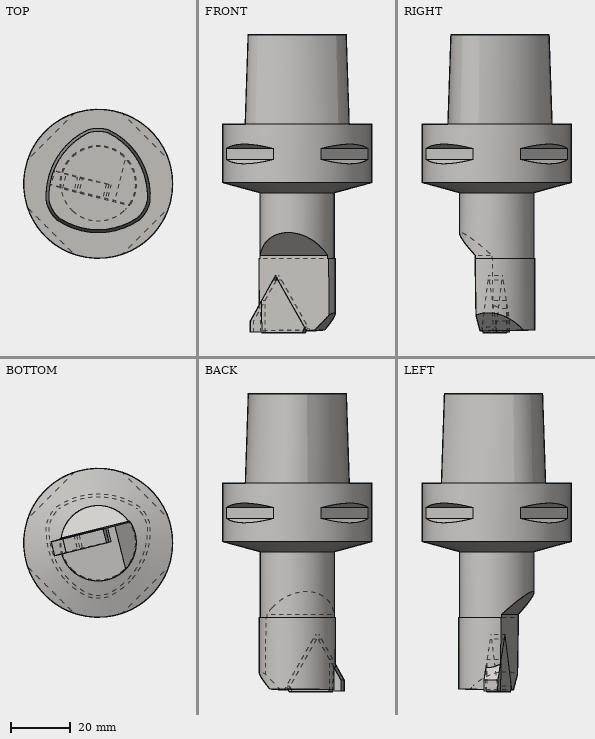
import cadquery as cq
import math

flange_diameter = 50.0
flange_bottom = 50.4
flange_top = 70.0
cone_bottom = 47.0
shank_diameter = 25.0
head_diameter = 25.6
head_top = 25.0
overall_height = 100.0

lobe_radius = 18.6
lobe_end_radius = 18.4
lobe_half_angle = 11.0
flank_radius = 16.4
coupling_inset = 1.0
lobe_angles = (90, 210, 330)
lobe_pitch = 360 / len(lobe_angles)

notch_count = 4
first_notch_angle = 45
notch_height = 3.6
notch_floor_distance = 22.4
notch_side_angle = 30.0
notch_z = 60.0

face_turn = 14.0
face_tilt = 1.0
face_offset = 4.1
face_height = 26.0
head_underside = 0.7
corner_start = 6.1
cutter_reach = 60.0
cutter_clearance = 1.0

insert_thickness = 4.8
apex_x = -6.4
apex_z = 19.2
half_apex_angle = 30.0
insert_top = 17.7
insert_corner_x = 2.7
insert_corner_height = 1.9
tip_joint_x = -11.2
tip_end_x = -15.2
tip_underside = 0.25

edge_run = math.tan(math.radians(half_apex_angle))


def left_edge_x(z):
    return apex_x - (apex_z - z) * edge_run


def left_edge_z(x):
    return apex_z - (apex_x - x) / edge_run


def right_edge_x(z):
    return apex_x + (apex_z - z) * edge_run


def place_on_face(shape):
    """Move a shape from the tool face's own frame to its place on the head."""
    tilted = shape.rotate((0, 0, 0), (1, 0, 0), face_tilt)
    shifted = tilted.translate((0, -face_offset, 0))
    return shifted.rotate((0, 0, 0), (0, 0, 1), -face_turn)


def plate(points, depth):
    """Prism from the tool face into the head, with its outline given in X and Z."""
    return cq.Workplane("XZ").polyline(points).close().extrude(-depth)


def polar(radius, angle):
    return radius * math.cos(math.radians(angle)), radius * math.sin(math.radians(angle))


def lobed_outline(height, inset):
    """Closed outline of three lobe arcs and three flank arcs, drawn in by the inset."""
    start = lobe_angles[0] - lobe_half_angle
    outline = cq.Workplane("XY").workplane(offset=height).moveTo(*polar(lobe_end_radius - inset, start))
    for angle in lobe_angles:
        outline = outline.threePointArc(
            polar(lobe_radius - inset, angle),
            polar(lobe_end_radius - inset, angle + lobe_half_angle),
        )
        outline = outline.threePointArc(
            polar(flank_radius - inset, angle + lobe_pitch / 2),
            polar(lobe_end_radius - inset, angle + lobe_pitch - lobe_half_angle),
        )
    return outline.close().val()


def make_coupling():
    base = lobed_outline(flange_top, 0)
    end = lobed_outline(overall_height, coupling_inset)
    return cq.Workplane(cq.Solid.makeLoft([base, end], True))


def make_turned_body():
    profile = [
        (0, 0),
        (head_diameter / 2, 0),
        (head_diameter / 2, head_top),
        (shank_diameter / 2, head_top),
        (shank_diameter / 2, cone_bottom),
        (flange_diameter / 2, flange_bottom),
        (flange_diameter / 2, flange_top),
        (0, flange_top),
    ]
    return cq.Workplane("XZ").polyline(profile).close().revolve(360, (0, 0), (0, 1))


def notch_cutter(angle):
    """Straight notch with sloping sides that widens outward."""
    outer = flange_diameter / 2 + cutter_clearance
    half_floor = notch_height / 2
    half_mouth = half_floor + (outer - notch_floor_distance) * math.tan(math.radians(notch_side_angle))
    profile = [
        (notch_floor_distance, notch_z - half_floor),
        (outer, notch_z - half_mouth),
        (outer, notch_z + half_mouth),
        (notch_floor_distance, notch_z + half_floor),
    ]
    cutter = cq.Workplane("XZ").polyline(profile).close().extrude(flange_diameter / 2, both=True)
    return cutter.rotate((0, 0, 0), (0, 0, 1), angle)


def face_cutter():
    """Clears the head in front of the tool face, ending in a 45 degree run-out."""
    runout = shank_diameter
    profile = [
        (0, -runout),
        (0, face_height),
        (-runout, face_height + runout),
        (-runout, -runout),
    ]
    cutter = cq.Workplane("YZ").polyline(profile).close().extrude(cutter_reach / 2, both=True)
    return place_on_face(cutter)


def underside_cutter():
    cutter = cq.Workplane("XY").workplane(offset=head_underside).rect(cutter_reach, cutter_reach)
    return place_on_face(cutter.extrude(-head_diameter))


def corner_cutter():
    """45 degree bevel across the lower corner opposite the cutting tip."""
    reach = head_diameter
    points = [(corner_start - reach, -reach), (corner_start + reach, reach), (corner_start + reach, -reach)]
    return place_on_face(plate(points, cutter_reach))


def pocket_cutter():
    """Sharp triangular pocket that holds the insert and the cutting tip."""
    bottom = -cutter_clearance
    points = [(left_edge_x(bottom), bottom), (apex_x, apex_z), (right_edge_x(bottom), bottom)]
    return place_on_face(plate(points, insert_thickness))


def make_holder():
    holder = make_turned_body().union(make_coupling())
    for index in range(notch_count):
        holder = holder.cut(notch_cutter(first_notch_angle + index * 360 / notch_count))
    for cutter in (face_cutter(), underside_cutter(), corner_cutter(), pocket_cutter()):
        holder = holder.cut(cutter)
    return holder


def make_insert():
    points = [
        (tip_joint_x, 0),
        (tip_joint_x, left_edge_z(tip_joint_x)),
        (left_edge_x(insert_top), insert_top),
        (right_edge_x(insert_top), insert_top),
        (right_edge_x(insert_corner_height), insert_corner_height),
        (insert_corner_x, 0),
    ]
    return place_on_face(plate(points, insert_thickness))


def make_tip():
    points = [
        (tip_joint_x, tip_underside),
        (tip_joint_x, left_edge_z(tip_joint_x)),
        (tip_end_x, left_edge_z(tip_end_x)),
        (tip_end_x, tip_underside),
    ]
    return place_on_face(plate(points, insert_thickness))


holder = make_holder()
insert = make_insert()
cutting_tip = make_tip()

result = cq.Compound.makeCompound([holder.val(), insert.val(), cutting_tip.val()])